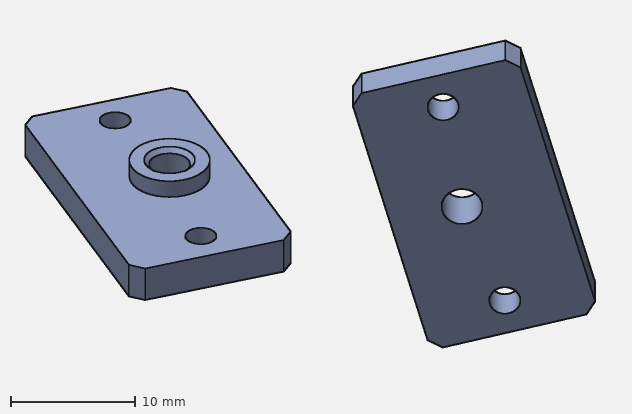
import cadquery as cq

plate_length = 25.0
plate_width = 14.0
plate_thickness = 3.0
corner_chamfer = 1.0

boss_diameter = 6.5
boss_height = 1.5
boss_offset_y = 1.0

bore_diameter = 3.3
bore_mouth_diameter = 4.1
bore_chamfer = (bore_mouth_diameter - bore_diameter) / 2

mounting_hole_diameter = 2.5
mounting_hole_spacing = 19.0

total_height = plate_thickness + boss_height


def make_plate():
    """Rectangular plate with its four vertical corners chamfered."""
    plate = cq.Workplane("XY").box(
        plate_length, plate_width, plate_thickness, centered=(True, True, False)
    )
    return plate.edges("|Z").chamfer(corner_chamfer)


def add_boss(body):
    """Round boss standing on the top face of the plate."""
    boss = (
        cq.Workplane("XY")
        .center(0, boss_offset_y)
        .circle(boss_diameter / 2)
        .extrude(total_height)
    )
    return body.union(boss)


def cut_bore(body):
    """Through bore on the boss axis, chamfered at its upper mouth."""
    bore = (
        cq.Workplane("XY")
        .center(0, boss_offset_y)
        .circle(bore_diameter / 2)
        .extrude(total_height)
    )
    mouth = (
        cq.Workplane("XY", origin=(0, boss_offset_y, total_height))
        .circle(bore_mouth_diameter / 2)
        .workplane(offset=-bore_chamfer)
        .circle(bore_diameter / 2)
        .loft(ruled=True)
    )
    return body.cut(bore).cut(mouth)


def cut_mounting_holes(body):
    """Pair of through holes, one on each side of the boss."""
    half_spacing = mounting_hole_spacing / 2
    holes = (
        cq.Workplane("XY")
        .pushPoints([(-half_spacing, 0), (half_spacing, 0)])
        .circle(mounting_hole_diameter / 2)
        .extrude(plate_thickness)
    )
    return body.cut(holes)


result = cut_mounting_holes(cut_bore(add_boss(make_plate())))